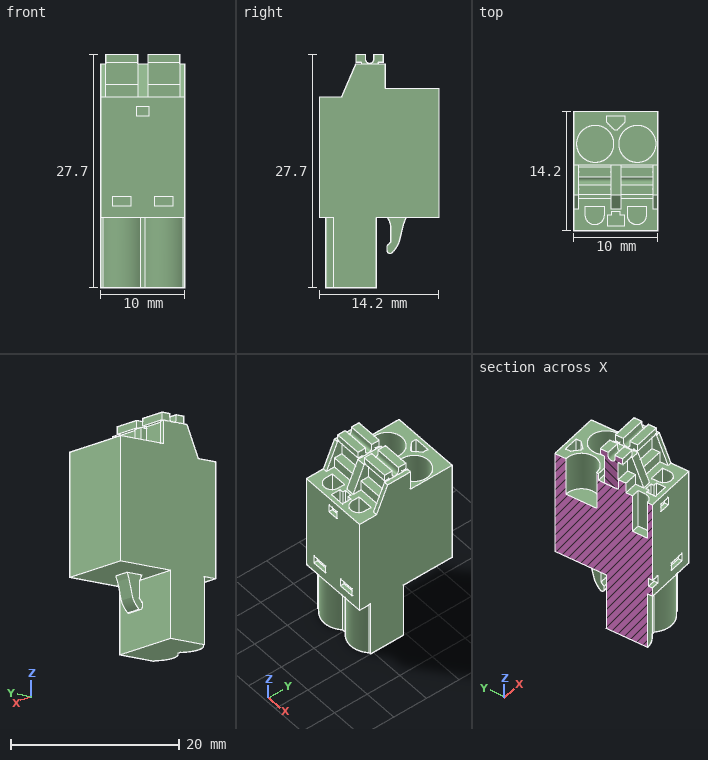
import cadquery as cq


width = 10.0
depth = 14.2
plug_height = 8.35
plug_back = 6.75
plug_front = 1.7
front_top = 22.68
back_top = 23.7
tower_top = 26.6
tower_back = 7.82
tower_front = 4.3
tower_foot = 2.6

poles = 2
pitch = width / poles
pole_centres = [(index - (poles - 1) / 2) * pitch for index in range(poles)]

lobe_width = 4.5
lobe_front = 0.72

overall_height = 27.73
button_width = 3.83
neck_back = 7.0
neck_front = 4.95
head_back = 7.57
head_front = 4.33
head_bottom = 26.8
groove_width = 0.95
groove_bottom = 26.68
ledge_top = 24.18
ledge_front = 3.83

shaft_depth = 5.55
screw_hole_diameter = 4.4
screw_hole_y = 10.35
screw_hole_shift = 0.05
wire_hole_width = 2.27
wire_hole_back = 2.88
wire_hole_front = 0.75
key_width = 2.2
key_back = 13.65
key_side_end = 12.92
key_tip_width = 0.35
tee_width = 2.02
tee_front = 0.6
tee_shoulder = 1.9
tee_stem_width = 1.0
tee_back = 2.33

window_depth = 0.55
window_height = 1.15
upper_window_width = 1.53
upper_window_bottom = 20.4
lower_window_width = 2.2
lower_window_bottom = 9.7

hook_width = 2.22
hook_back_root = (10.3, plug_height)
hook_back_bend = (10.0, 7.65)
hook_back_knee = (9.45, 5.4)
hook_belly = (9.05, 4.65)
hook_tip = (8.5, 4.08)
hook_tip_round = (8.15, 4.15)
hook_nose_bottom = (8.01, 4.55)
hook_nose_top = (8.01, 5.0)
hook_throat = (8.45, 5.45)
hook_neck = (8.45, 7.13)
hook_root_curve = (8.35, 7.76)
hook_front_root = (8.07, plug_height)


def block(x_centre, x_size, y_range, z_range):
    """Box centred on x_centre that spans the given Y and Z ranges."""
    y_low, y_high = y_range
    z_low, z_high = z_range
    return (
        cq.Workplane("XY", origin=(x_centre, 0, z_low))
        .moveTo(0, (y_low + y_high) / 2)
        .rect(x_size, y_high - y_low)
        .extrude(z_high - z_low)
    )


def side_sketch(x_centre, x_size):
    """Workplane with local axes Y and Z, at the low-X end of a width of x_size."""
    return cq.Workplane("YZ", origin=(x_centre - x_size / 2, 0, 0))


def shell():
    """Side outline of the plug, main block and tower, drawn across the full width."""
    return (
        side_sketch(0, width)
        .moveTo(plug_front, 0)
        .lineTo(plug_back, 0)
        .lineTo(plug_back, plug_height)
        .lineTo(depth, plug_height)
        .lineTo(depth, back_top)
        .lineTo(tower_back, back_top)
        .lineTo(tower_back, tower_top)
        .lineTo(tower_front, tower_top)
        .lineTo(tower_foot, front_top)
        .lineTo(0, front_top)
        .lineTo(0, plug_height)
        .lineTo(plug_front, plug_height)
        .close()
        .extrude(width)
    )


def lobe(x_centre):
    """Arc-fronted rib on the plug."""
    return (
        cq.Workplane("XY", origin=(x_centre, 0, 0))
        .moveTo(-lobe_width / 2, plug_front)
        .threePointArc((0, lobe_front), (lobe_width / 2, plug_front))
        .close()
        .extrude(plug_height)
    )


def hook():
    """Latch that hangs below the main block, its nose turned towards the plug."""
    return (
        side_sketch(0, hook_width)
        .moveTo(*hook_back_root)
        .lineTo(*hook_back_bend)
        .lineTo(*hook_back_knee)
        .threePointArc(hook_belly, hook_tip)
        .threePointArc(hook_tip_round, hook_nose_bottom)
        .lineTo(*hook_nose_top)
        .lineTo(*hook_throat)
        .lineTo(*hook_neck)
        .threePointArc(hook_root_curve, hook_front_root)
        .close()
        .extrude(hook_width)
    )


def button_bay(x_centre):
    """Slot through the tower for the button, with a ledge left standing at its front."""
    slot = block(x_centre, button_width, (neck_front, tower_back), (front_top, tower_top))
    above_ledge = block(x_centre, button_width, (tower_foot, neck_front), (ledge_top, tower_top))
    before_ledge = block(x_centre, button_width, (tower_foot, ledge_front), (front_top, tower_top))
    return slot.union(above_ledge).union(before_ledge)


def screw_hole(x_centre):
    """Round shaft in the rear upper face, slightly off the pole centre."""
    return (
        cq.Workplane("XY", origin=(x_centre + screw_hole_shift, screw_hole_y, back_top))
        .circle(screw_hole_diameter / 2)
        .extrude(-shaft_depth)
    )


def wire_hole(x_centre):
    """D-shaped shaft in the front upper face, round towards the front."""
    radius = wire_hole_width / 2
    arc_start = wire_hole_front + radius
    return (
        cq.Workplane("XY", origin=(x_centre, 0, front_top))
        .moveTo(-radius, wire_hole_back)
        .lineTo(-radius, arc_start)
        .threePointArc((0, wire_hole_front), (radius, arc_start))
        .lineTo(radius, wire_hole_back)
        .close()
        .extrude(-shaft_depth)
    )


def key_hole():
    """Shaft that narrows at 45 degrees to a blunt tip, between the screw holes."""
    half = key_width / 2
    half_tip = key_tip_width / 2
    tip_y = key_side_end - (half - half_tip)
    return (
        cq.Workplane("XY", origin=(0, 0, back_top))
        .moveTo(-half, key_back)
        .lineTo(-half, key_side_end)
        .lineTo(-half_tip, tip_y)
        .lineTo(half_tip, tip_y)
        .lineTo(half, key_side_end)
        .lineTo(half, key_back)
        .close()
        .extrude(-shaft_depth)
    )


def tee_hole():
    """T-shaped shaft between the wire holes."""
    z_range = (front_top - shaft_depth, front_top)
    bar = block(0, tee_width, (tee_front, tee_shoulder), z_range)
    stem = block(0, tee_stem_width, (tee_shoulder, tee_back), z_range)
    return bar.union(stem)


def window(x_centre, x_size, bottom):
    """Shallow rectangular recess in the front face."""
    return block(x_centre, x_size, (0, window_depth), (bottom, bottom + window_height))


def make_housing():
    body = shell().union(hook())
    for x in pole_centres:
        body = body.union(lobe(x))
    for x in pole_centres:
        body = body.cut(button_bay(x)).cut(screw_hole(x)).cut(wire_hole(x))
        body = body.cut(window(x, lower_window_width, lower_window_bottom))
    body = body.cut(window(0, upper_window_width, upper_window_bottom))
    return body.cut(key_hole()).cut(tee_hole())


def make_button(x_centre):
    """Neck with a wider head that has a round-bottomed groove across it."""
    neck = block(x_centre, button_width, (neck_front, neck_back), (front_top, head_bottom))
    head = block(x_centre, button_width, (head_front, head_back), (head_bottom, overall_height))
    groove_radius = groove_width / 2
    arc_end = groove_bottom + groove_radius
    groove_y = (head_front + head_back) / 2
    groove = (
        side_sketch(x_centre, button_width)
        .moveTo(groove_y - groove_radius, overall_height)
        .lineTo(groove_y - groove_radius, arc_end)
        .threePointArc((groove_y, groove_bottom), (groove_y + groove_radius, arc_end))
        .lineTo(groove_y + groove_radius, overall_height)
        .close()
        .extrude(button_width)
    )
    return neck.union(head).cut(groove)


housing = make_housing()
buttons = [make_button(x) for x in pole_centres]

result = cq.Compound.makeCompound([housing.val(), *[button.val() for button in buttons]])